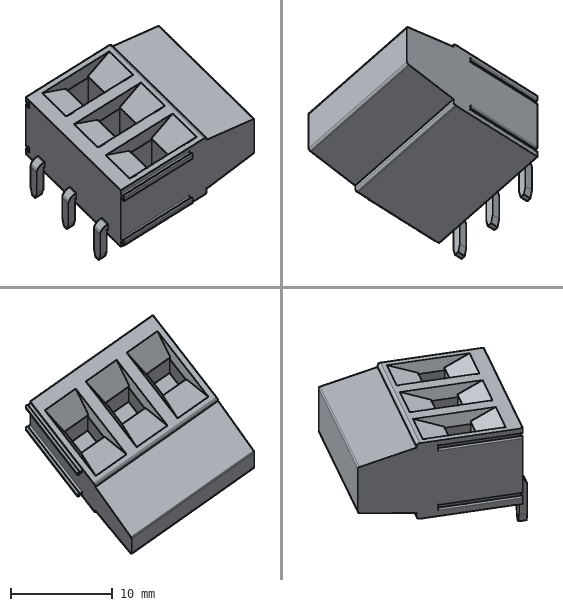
import cadquery as cq


POLES = 3
PITCH = 5.0
HOUSING_LENGTH = POLES * PITCH
HOUSING_DEPTH = 16.8
HOUSING_HEIGHT = 8.9
SHOULDER_Y = 10.8
NOSE_ROOT_BOTTOM_Z = 0.73
NOSE_ROOT_TOP_Z = 8.44
NOSE_END_BOTTOM_Z = 1.7
NOSE_END_TOP_Z = 7.08
NOSE_TOP_RADIUS = 0.18
EDGE_RADIUS = 0.3

MOUTH_WIDTH = 3.75
MOUTH_FRONT_Y = 1.6
MOUTH_BACK_Y = 10.02
THROAT_DEPTH = 1.25
FRONT_RAMP_DEPTH = 1.0
BACK_RAMP_DEPTH = 1.12
WELL_WIDTH = 2.76
WELL_FRONT_Y = 4.27
WELL_BACK_Y = 6.98
WELL_DEPTH = 5.87

RAIL_LEVELS = (1.05, 8.05)
RAIL_LENGTH = 8.62
RAIL_HEIGHT = 0.55
RAIL_ROOT = 0.65
RAIL_WAIST = 0.4
RAIL_STEM_LENGTH = 0.34
RAIL_HEAD = 0.8
RAIL_HEAD_THICKNESS = 0.27

PIN_WIDTH = 1.0
PIN_THICKNESS = 0.85
PIN_REACH = 1.0
PIN_TOP_Z = 1.62
PIN_BOTTOM_Z = -3.5
PIN_TIP_LENGTH = 1.0
PIN_TIP_WIDTH = 0.5


def make_housing():
    """Side outline with a tapered nose, run along all poles."""
    outline = [
        (0, 0),
        (SHOULDER_Y, 0),
        (SHOULDER_Y, NOSE_ROOT_BOTTOM_Z),
        (HOUSING_DEPTH, NOSE_END_BOTTOM_Z),
        (HOUSING_DEPTH, NOSE_END_TOP_Z),
        (SHOULDER_Y, NOSE_ROOT_TOP_Z),
        (SHOULDER_Y, HOUSING_HEIGHT),
        (0, HOUSING_HEIGHT),
    ]
    block = cq.Workplane("YZ").polyline(outline).close().extrude(HOUSING_LENGTH)
    block = block.faces(">Y").edges(">Z").fillet(NOSE_TOP_RADIUS)
    block = block.faces(">Y").edges("<Z").fillet(EDGE_RADIUS)
    for outer_face in (">Z", "<Z"):
        block = block.faces(outer_face).edges(">Y").fillet(EDGE_RADIUS)
    return block


def make_wire_entry(center_x):
    """Funnel that narrows to a rectangular well; both ramps end just above the throat of the side walls."""
    front_ramp_z = HOUSING_HEIGHT - FRONT_RAMP_DEPTH
    back_ramp_z = HOUSING_HEIGHT - BACK_RAMP_DEPTH
    throat_z = HOUSING_HEIGHT - THROAT_DEPTH
    side_outline = [
        (MOUTH_FRONT_Y, HOUSING_HEIGHT),
        (WELL_FRONT_Y, front_ramp_z),
        (WELL_FRONT_Y, throat_z),
        (WELL_BACK_Y, throat_z),
        (WELL_BACK_Y, back_ramp_z),
        (MOUTH_BACK_Y, HOUSING_HEIGHT),
    ]
    front_outline = [
        (center_x - MOUTH_WIDTH / 2, HOUSING_HEIGHT),
        (center_x - WELL_WIDTH / 2, throat_z),
        (center_x + WELL_WIDTH / 2, throat_z),
        (center_x + MOUTH_WIDTH / 2, HOUSING_HEIGHT),
    ]
    across = cq.Workplane("YZ").polyline(side_outline).close().extrude(HOUSING_LENGTH)
    along = cq.Workplane("XZ").polyline(front_outline).close().extrude(-HOUSING_DEPTH)
    well_length = WELL_BACK_Y - WELL_FRONT_Y
    well = (
        cq.Workplane("XY")
        .box(WELL_WIDTH, well_length, WELL_DEPTH, centered=(True, False, False))
        .translate((center_x, WELL_FRONT_Y, HOUSING_HEIGHT - WELL_DEPTH))
    )
    return across.intersect(along).union(well)


def make_rail(root_x, level):
    """Rail whose stem curves in to a waist and ends in a wider head with rounded ends."""
    waist_x = root_x + RAIL_STEM_LENGTH / 2
    stem_end_x = root_x + RAIL_STEM_LENGTH
    stem = (
        cq.Workplane("XZ")
        .moveTo(root_x, level - RAIL_ROOT / 2)
        .threePointArc((waist_x, level - RAIL_WAIST / 2), (stem_end_x, level - RAIL_ROOT / 2))
        .lineTo(stem_end_x, level + RAIL_ROOT / 2)
        .threePointArc((waist_x, level + RAIL_WAIST / 2), (root_x, level + RAIL_ROOT / 2))
        .close()
        .extrude(-RAIL_LENGTH)
    )
    head_x = root_x + RAIL_HEIGHT - RAIL_HEAD_THICKNESS / 2
    head = (
        cq.Workplane("XZ")
        .center(head_x, level)
        .slot2D(RAIL_HEAD, RAIL_HEAD_THICKNESS, 90)
        .extrude(-RAIL_LENGTH)
    )
    return stem.union(head)


def make_pin(center_x):
    """Pin leaving the front face, bent down and narrowed at its tip."""
    inner_y = PIN_THICKNESS - PIN_REACH
    bend_z = PIN_TOP_Z - PIN_THICKNESS
    bar = (
        cq.Workplane("YZ")
        .moveTo(0, PIN_TOP_Z)
        .lineTo(inner_y, PIN_TOP_Z)
        .radiusArc((-PIN_REACH, bend_z), -PIN_THICKNESS)
        .lineTo(-PIN_REACH, PIN_BOTTOM_Z)
        .lineTo(inner_y, PIN_BOTTOM_Z)
        .lineTo(inner_y, bend_z)
        .lineTo(0, bend_z)
        .close()
        .extrude(PIN_WIDTH / 2, both=True)
        .translate((center_x, 0, 0))
    )
    shoulder_z = PIN_BOTTOM_Z + PIN_TIP_LENGTH
    front_outline = [
        (center_x - PIN_WIDTH / 2, PIN_TOP_Z),
        (center_x - PIN_WIDTH / 2, shoulder_z),
        (center_x - PIN_TIP_WIDTH / 2, PIN_BOTTOM_Z),
        (center_x + PIN_TIP_WIDTH / 2, PIN_BOTTOM_Z),
        (center_x + PIN_WIDTH / 2, shoulder_z),
        (center_x + PIN_WIDTH / 2, PIN_TOP_Z),
    ]
    silhouette = cq.Workplane("XZ").polyline(front_outline).close().extrude(PIN_REACH)
    return bar.intersect(silhouette)


result = make_housing()

for rail_level in RAIL_LEVELS:
    result = result.cut(make_rail(0, rail_level))
    result = result.union(make_rail(HOUSING_LENGTH, rail_level))

for pole in range(POLES):
    pole_x = (pole + 0.5) * PITCH
    result = result.cut(make_wire_entry(pole_x))
    result = result.union(make_pin(pole_x))